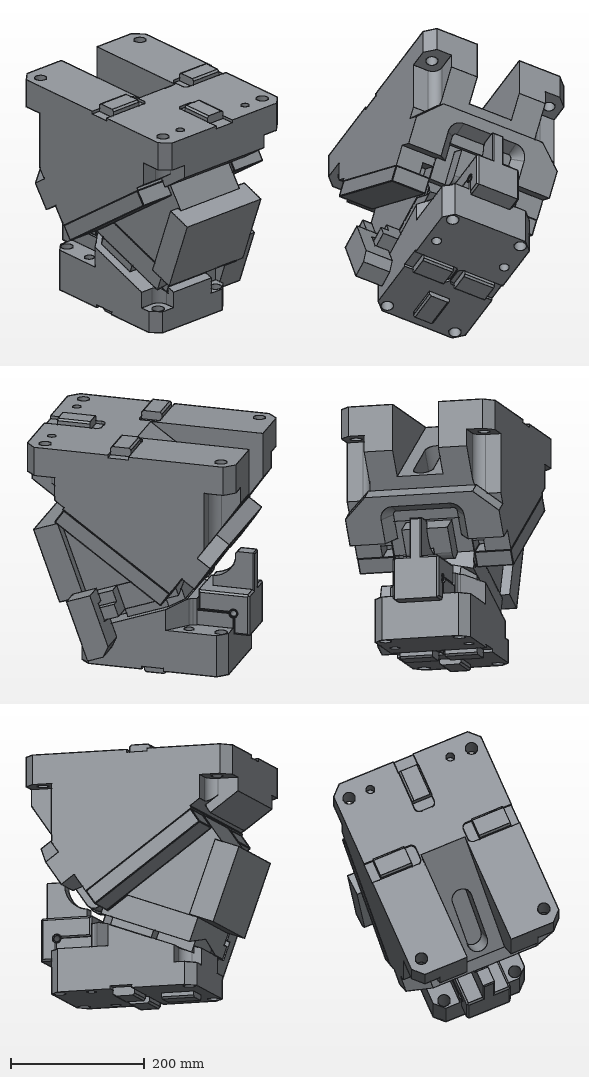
import cadquery as cq
import math

length = 326.2
width = 240.0
key_height = 9.0
key_depth = 4.5
total_height = 372
past = 372

upper_angle = 35
upper_origin = (99.0, 151.5)
lower_angle = -20
lower_origin = (103.0, 127.2)

holder_top = total_height - key_height
holder_half = width / 2
corner_chamfer = 15.3
tail_edge = 204.2
tail_step = 3.7
hook_edge = 216.5
hook_drop = 10.8
flange_bottom = 318.0
core_half = 80.0
relief_left = 45.5
relief_right = 279.0
relief_radius = 15.5
bolt_x = (25.0, 300.0)
bolt_y = 99.7
bolt_diameter = 18.2
dowel_y = 65.0
dowel_diameter = 12.5
dowel_depth = 22.5

trough_half = 35.7
trough_end = 175.5
trough_slot_x = 73.3
trough_slot_length = 102.3
trough_slot_width = 31.0
trough_slot_depth = 42.0

plate_thickness = 24.5
plate_bottom = 32.0
plate_top = 108.5
plate_chamfer_y = 35.7
plate_chamfer_v = 33.5
window_half = 64.7
window_top = 91.5
window_radius = 20.5
window_depth = 18.0
window_taper = 40
recess_half = 62.5
recess_top = 60.0
recess_floor = 3.5
boss_half = 35.7
boss_top = 53.0
boss_radius = 14.0
boss_center_v = 11.0
roller_radius = 16.7
roller_half = 8.5

strip_inner = 63.0
strip_length = 202.5
strip_thickness = 25.3
strip_chamfer = 1.0
notch_outer = 80.5
notch_length = 29.8
notch_height = 18.5

slider_half = 58.8
foot_half = 60.3
foot_length = 149.0
foot_height = 38.5
wing_half = 74.0
wing_start = 140.0
wing_end = 179.5
wing_top = 157.5
rail_half = 60.5
roof_rise = 14.5
claw_start = 89.0
claw_y = 82.0
claw_lip_y = 94.5
claw_lip_height = 20.0

base_front = 25.0
base_back = 254.5
base_half = 74.5
base_bottom = key_height
base_chamfer = 14.5
step_top = 74.8
block_top = 116.8
block_front = 81.0
block_half = 38.0
block_bend = (86.5, 39.8)
block_arc_middle = (89.3, 41.0)
block_corner = (91.5, 43.0)
block_side = 119.0
deck_drop = 12.5
rail_chamfer = 20.5
rear_rail_half = 38.0
lip_drop = 2.5
tongue_half = 37.0
tongue_top = 98.0
base_relief_x = 223.5
base_relief_y = rear_rail_half
base_relief_bottom = 44.0
step_hole_y = 57.5
step_holes = ((37.2, 18.5), (87.5, 15.0), (241.8, 18.5))

return_start = 111.2
return_end = 150.3
return_outer = 119.0
return_top = 48.5
return_bottom = -48.7
return_chamfer = 13.5
return_floor = -1.5
return_ceiling = 28.0
return_gap_y = 85.0
return_slot_y = 97.5

stop_half = 35.7
stop_end = 79.5
stop_top = 129.5
stop_bottom = 64.5
stop_chamfer = 3.0
fin_half = 9.3
fin_chamfer = 2.0
fin_top = 187.5
fin_width = 29.5
fin_corner = 3.5
fin_base = stop_top - 11
fin_arc_top = 176.0
fin_arc_middle = (41.3, 155.0)
fin_arc_bottom = 145.0
fin_foot = 64.5
relief_hole_radius = 5.0
relief_rim_radius = 6.7
relief_rim_depth = 1.5

key_length = 50.5
key_chamfer = 3.0
slot_radius = 7.5
top_key_width = 32.0
top_key_x = 179.5
top_key_y = 80.5
top_slot_end = 38.7
rear_key_x = 280.5
rear_slot_start = 239.0
bottom_key_width = 34.0
bottom_key_x = 139.5
bottom_key_y = 35.0
bottom_slot_end = 0.5
bottom_rear_key_x = 209.8


def tilted_plane(origin, angle):
    """Plane along X and Z, turned by the angle, with its normal along -Y."""
    turn = math.radians(angle)
    return cq.Plane((origin[0], 0, origin[1]), (math.cos(turn), 0, math.sin(turn)), (0, -1, 0))


UPRIGHT = tilted_plane((0, 0), 0)
UPPER = tilted_plane(upper_origin, upper_angle)
LOWER = tilted_plane(lower_origin, lower_angle)


def prism(plane, points, y_low, y_high):
    """Polygon in the plane, extruded between two Y values."""
    return cq.Workplane(plane).workplane(offset=-y_high).polyline(points).close().extrude(y_high - y_low)


def block(plane, u_low, u_high, v_low, v_high, y_low, y_high):
    corners = [(u_low, v_low), (u_high, v_low), (u_high, v_high), (u_low, v_high)]
    return prism(plane, corners, y_low, y_high)


def world(plane, u, v):
    """X and Z of a point given in a tilted frame."""
    spot = plane.toWorldCoords((u, v, 0))
    return spot.x, spot.z


def upper_height(x, v):
    """Z at a given X on the line parallel to the upper sliding plane at distance v."""
    turn = math.radians(upper_angle)
    return upper_origin[1] + (x - upper_origin[0]) * math.tan(turn) + v / math.cos(turn)


def both_sides(shape):
    return shape.union(shape.mirror("XZ"))


def key(key_width):
    """Key lying along X, its foot at Z = 0 and its two long top edges chamfered."""
    size = key_depth + key_height
    return (
        cq.Workplane("XY").box(key_length, key_width, size, centered=(True, True, False))
        .edges("|X and >Z").chamfer(key_chamfer)
    )


def key_slot(slot_length, slot_width):
    """Cutter from X = 0 along +X, its inner corners rounded and its floor at Z = 0."""
    return (
        cq.Workplane("XY").box(slot_length, slot_width, past, centered=(False, True, False))
        .edges("|Z and <X").fillet(slot_radius)
    )


def corner_relief(x_corner, direction, y_inner, z_low, z_high, radius):
    """Cutter outside a corner, open towards +Y and towards the given X direction."""
    tool = cq.Workplane("XY").box(past, past, z_high - z_low, centered=(False, False, False))
    tool = tool.edges("|Z and <X and <Y").fillet(radius)
    if direction < 0:
        tool = tool.mirror("YZ")
    return tool.translate((x_corner, y_inner, z_low))


def holder_body():
    front_corner = upper_origin[1] + upper_origin[0] / math.tan(math.radians(upper_angle))
    outline = [
        (0, holder_top),
        (length, holder_top),
        (length, upper_height(length, tail_step)),
        world(UPPER, tail_edge, tail_step),
        world(UPPER, tail_edge, 0),
        world(UPPER, 0, 0),
        (0, front_corner),
    ]
    body = prism(UPRIGHT, outline, -holder_half, holder_half)
    return body.edges("|Z and (<X or >X)").chamfer(corner_chamfer)


def tail_hook():
    outline = [
        world(UPPER, hook_edge, tail_step),
        world(UPPER, hook_edge, -hook_drop),
        (length, upper_height(length, -hook_drop)),
        (length, upper_height(length, tail_step)),
    ]
    return prism(UPRIGHT, outline, -core_half, core_half)


def trough():
    floor_v = (holder_top - upper_height(trough_end, 0)) * math.cos(math.radians(upper_angle))
    channel = block(UPPER, -past, 2 * past, floor_v, floor_v + 2 * past, -trough_half, trough_half)
    turn = math.radians(upper_angle)
    up = (-math.sin(turn), 0, math.cos(turn))
    floor = cq.Plane(
        (trough_slot_x, 0, upper_height(trough_slot_x, floor_v)),
        (math.cos(turn), 0, math.sin(turn)),
        up,
    )
    slot = cq.Workplane(floor).slot2D(trough_slot_length, trough_slot_width).extrude(-trough_slot_depth)
    return channel.union(slot)


def front_plate():
    turn = math.radians(upper_angle)
    x, z = world(UPPER, -plate_thickness, 0)
    face = cq.Plane((x, 0, z), (0, 1, 0), (math.cos(turn), 0, math.sin(turn)))
    shoulder = plate_top - plate_chamfer_v
    flat_half = holder_half - plate_chamfer_y
    outline = [
        (-holder_half, plate_bottom),
        (holder_half, plate_bottom),
        (holder_half, shoulder),
        (flat_half, plate_top),
        (-flat_half, plate_top),
        (-holder_half, shoulder),
    ]
    plate = cq.Workplane(face).polyline(outline).close().extrude(plate_thickness)
    window = (
        cq.Workplane(face)
        .moveTo(-window_half, 0)
        .lineTo(window_half, 0)
        .lineTo(window_half, window_top - window_radius)
        .tangentArcPoint((-window_radius, window_radius))
        .lineTo(-window_half + window_radius, window_top)
        .tangentArcPoint((-window_radius, -window_radius))
        .close()
        .extrude(window_depth, taper=window_taper)
    )
    return plate.cut(window)


def nose_boss():
    center_u = boss_radius - plate_thickness
    slant = math.sqrt(0.5) * boss_radius
    boss = (
        cq.Workplane(UPPER).workplane(offset=-boss_half)
        .moveTo(recess_floor, boss_top)
        .lineTo(-plate_thickness, boss_top)
        .lineTo(-plate_thickness, boss_center_v)
        .threePointArc(
            (center_u - slant, boss_center_v - slant), (center_u, boss_center_v - boss_radius))
        .lineTo(recess_floor, 0)
        .close()
        .extrude(2 * boss_half)
    )
    roller = (
        cq.Workplane(UPPER).center(center_u, boss_center_v)
        .circle(roller_radius).extrude(roller_half, both=True)
    )
    return boss.union(roller)


def guide_strips():
    strip = block(UPPER, 0, strip_length, -strip_thickness, 0, strip_inner, holder_half)
    return both_sides(strip.edges().chamfer(strip_chamfer))


def make_holder():
    holder = holder_body().union(tail_hook()).cut(trough())
    for x, direction in ((relief_left, -1), (relief_right, 1)):
        relief = corner_relief(x, direction, core_half, 0, flange_bottom, relief_radius)
        holder = holder.cut(both_sides(relief))
    holder = holder.union(front_plate())
    recess = block(
        UPPER, window_depth - plate_thickness, recess_floor, 0, recess_top, -recess_half, recess_half)
    notch = block(UPPER, 0, notch_length, 0, notch_height, strip_inner, notch_outer)
    holder = holder.cut(recess).cut(both_sides(notch))
    holder = holder.union(nose_boss()).union(guide_strips())

    bolts = cq.Workplane("XY", origin=(0, 0, flange_bottom))
    bolts = bolts.pushPoints([(x, y) for x in bolt_x for y in (-bolt_y, bolt_y)])
    holder = holder.cut(bolts.circle(bolt_diameter / 2).extrude(past))
    dowels = cq.Workplane("XY", origin=(0, 0, holder_top - dowel_depth))
    dowels = dowels.pushPoints([(bolt_x[1], y) for y in (-dowel_y, dowel_y)])
    holder = holder.cut(dowels.circle(dowel_diameter / 2).extrude(past))

    slot_floor = holder_top - key_depth
    side_slot = key_slot(past, top_key_width).rotate((0, 0, 0), (0, 0, 1), 90)
    side_slot = side_slot.translate((top_key_x, top_slot_end, slot_floor))
    rear_slot = key_slot(past, top_key_width).translate((rear_slot_start, 0, slot_floor))
    holder = holder.cut(both_sides(side_slot)).cut(rear_slot)
    side_key = key(top_key_width).rotate((0, 0, 0), (0, 0, 1), 90)
    side_key = side_key.translate((top_key_x, top_key_y, slot_floor))
    rear_key = key(top_key_width).translate((rear_key_x, 0, slot_floor))
    return holder.union(both_sides(side_key)).union(rear_key)


def guide_roof(u_low, u_high, half, bottom):
    """Prism along the lower sliding direction with a roof-shaped top."""
    turn = math.radians(lower_angle)
    x, z = world(LOWER, u_low, 0)
    section = cq.Plane((x, 0, z), (0, 1, 0), (math.cos(turn), 0, math.sin(turn)))
    eave = roof_rise * (1 - half / rail_half)
    outline = [(-half, bottom), (half, bottom), (half, eave), (0, roof_rise), (-half, eave)]
    return cq.Workplane(section).polyline(outline).close().extrude(u_high - u_low)


def make_slider():
    wing = block(LOWER, wing_start, wing_end, foot_height, wing_top, -wing_half, wing_half)
    upper = block(LOWER, 0, wing_end, 0, past, -slider_half, slider_half)
    foot = block(LOWER, 0, foot_length, 0, foot_height, -foot_half, foot_half)
    claw = block(LOWER, claw_start, foot_length, 0, foot_height, 0, claw_y)
    claw_lip = block(LOWER, claw_start, foot_length, 0, claw_lip_height, 0, claw_lip_y)
    under_wing = block(LOWER, foot_length, past * 2, -past, foot_height, -past, past)
    slider = upper.union(foot).cut(under_wing)

    above = block(UPPER, -past, strip_length, 0, past, -past, past)
    behind = block(UPPER, strip_length, past * 2, -past, past, -past, past)
    strips = block(UPPER, -past, strip_length, -strip_thickness, 0, strip_inner, past)
    wide = block(UPPER, 0, strip_length, -strip_thickness, 0, slider_half, past)
    slider = slider.cut(above).cut(behind).cut(both_sides(wide)).union(wing)
    slider = slider.union(claw).union(claw_lip).cut(both_sides(strips))
    return slider.cut(guide_roof(-past, past * 2, rail_half, -deck_drop))


def base_block():
    """Step, tall block and side decks, below the sloping deck plane."""
    middle_x = (base_front + base_back) / 2
    base_length = base_back - base_front
    step = (
        cq.Workplane("XY")
        .box(base_length, 2 * base_half, block_top - base_bottom, centered=(True, True, False))
        .edges("|Z").chamfer(base_chamfer)
        .translate((middle_x, 0, base_bottom))
    )
    front_cut = (
        cq.Workplane("XY", origin=(0, 0, step_top))
        .moveTo(0, 0)
        .lineTo(block_front, 0)
        .lineTo(block_front, block_half)
        .lineTo(*block_bend)
        .threePointArc(block_arc_middle, block_corner)
        .lineTo(block_side, base_half)
        .lineTo(block_side, past)
        .lineTo(0, past)
        .close()
        .extrude(past)
    )
    above_deck = block(LOWER, -past, 2 * past, -deck_drop, past, -past, past)
    return step.cut(both_sides(front_cut)).cut(above_deck)


def guide_rail():
    front = guide_roof(0, claw_start, rail_half, -deck_drop)
    turn = math.radians(lower_angle)
    deck = cq.Plane((lower_origin[0], 0, lower_origin[1]), (math.cos(turn), 0, math.sin(turn)),
                    (-math.sin(turn), 0, math.cos(turn)))
    triangle = [(0, rail_half), (0, rail_half - rail_chamfer), (rail_chamfer, rail_half)]
    corner = cq.Workplane(deck).polyline(triangle).close().extrude(past, both=True)
    front = front.cut(both_sides(corner))
    rear = guide_roof(claw_start, foot_length, rear_rail_half, -deck_drop)
    return front.union(rear)


def return_hook():
    outline = [
        (return_start, return_top),
        (return_start, return_bottom + return_chamfer),
        (return_start + return_chamfer, return_bottom),
        (return_end, return_bottom),
        (return_end, return_top),
    ]
    hook = prism(LOWER, outline, base_half, return_outer)
    gap = block(LOWER, 0, past * 2, return_floor, past, 0, return_gap_y)
    slot = block(LOWER, 0, past * 2, return_floor, return_ceiling, 0, return_slot_y)
    return hook.cut(gap).cut(slot)


def front_stop():
    leg = block(UPRIGHT, 0, base_front, stop_bottom, stop_top, -stop_half, stop_half)
    arm = block(UPRIGHT, 0, stop_end, tongue_top, stop_top, -stop_half, stop_half)
    stop = leg.union(arm).clean().edges("|X or |Z").chamfer(stop_chamfer)
    stop = stop.faces("<X").edges(">Z").chamfer(stop_chamfer)
    fin = (
        cq.Workplane(UPRIGHT)
        .moveTo(0, fin_base)
        .lineTo(0, fin_top)
        .lineTo(fin_width - fin_corner, fin_top)
        .lineTo(fin_width, fin_top - fin_corner)
        .lineTo(fin_width, fin_arc_top)
        .threePointArc(fin_arc_middle, (fin_foot, fin_arc_bottom))
        .lineTo(fin_foot, fin_base)
        .close()
        .extrude(fin_half, both=True)
    )
    fin = fin.edges("<X").chamfer(fin_chamfer)
    return stop.union(fin)


def relief_hole():
    """Cross hole in the corner under the stop, with a shallow wider rim on both sides."""
    center = cq.Workplane(UPRIGHT).center(base_front, tongue_top)
    hole = center.circle(relief_hole_radius).extrude(base_half, both=True)
    rim_plane = center.workplane(offset=stop_half - relief_rim_depth)
    rim = rim_plane.circle(relief_rim_radius).extrude(base_half - stop_half)
    return hole.union(both_sides(rim))


def make_base():
    base = base_block()
    relief = corner_relief(
        base_relief_x, 1, base_relief_y, base_relief_bottom, total_height, relief_radius)
    base = base.cut(both_sides(relief))
    base = base.union(guide_rail())
    back = world(LOWER, foot_length, -lip_drop)
    lip_slope = math.tan(math.radians(lower_angle))
    lip = [
        back,
        (base_back, back[1] + (base_back - back[0]) * lip_slope),
        (base_back, base_relief_bottom),
        (back[0], base_relief_bottom),
    ]
    base = base.union(prism(UPRIGHT, lip, -base_relief_y, base_relief_y))
    tongue = block(UPRIGHT, base_front, block_front, step_top, tongue_top, -tongue_half, tongue_half)
    base = base.union(tongue).union(front_stop()).union(return_hook())
    base = base.cut(relief_hole())
    for x, diameter in step_holes:
        holes = cq.Workplane("XY").pushPoints([(x, -step_hole_y), (x, step_hole_y)])
        base = base.cut(holes.circle(diameter / 2).extrude(step_top))

    slot_floor = base_bottom + key_depth
    side_slot = key_slot(past, bottom_key_width).rotate((0, 0, 0), (0, 0, 1), 90).mirror("XY")
    base = base.cut(both_sides(side_slot.translate((bottom_key_x, bottom_slot_end, slot_floor))))
    side_key = key(bottom_key_width).rotate((0, 0, 0), (0, 0, 1), 90).mirror("XY")
    rear_key = key(bottom_key_width).mirror("XY").translate((bottom_rear_key_x, 0, slot_floor))
    base = base.union(both_sides(side_key.translate((bottom_key_x, bottom_key_y, slot_floor))))
    return base.union(rear_key)


holder = make_holder()
slider = make_slider()
base = make_base()
result = cq.Compound.makeCompound([*holder.vals(), *slider.vals(), *base.vals()])